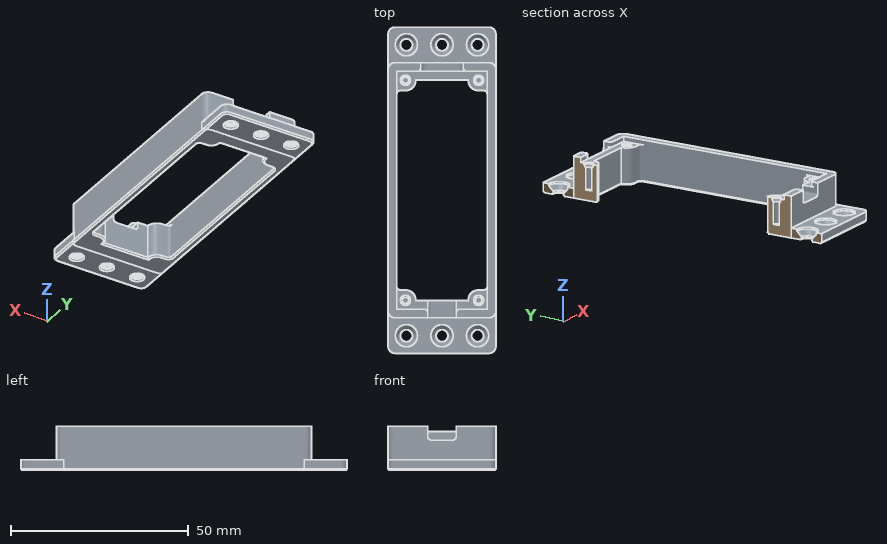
import cadquery as cq

LENGTH = 91.8
WIDTH = 30.4
HEIGHT = 12.5
CORNER_RADIUS = 2.0
BOTTOM_CHAMFER = 0.5

FLANGE_LENGTH = 10.0
FLANGE_HEIGHT = 3.0
HOUSING_LENGTH = LENGTH - 2 * FLANGE_LENGTH
SCREW_PITCH = 10.0
SCREW_Y = (LENGTH - FLANGE_LENGTH) / 2
SCREW_DIAMETER = 3.3
HEAD_DIAMETER = 6.2
HEAD_ANGLE = 90
HEAD_SINK = 0.55

WALL = 2.5
RECESS_DEPTH = 1.5
LEDGE_Z = HEIGHT - RECESS_DEPTH
RECESS_WIDTH = WIDTH - 2 * WALL
RECESS_LENGTH = HOUSING_LENGTH - 2 * WALL
WINDOW_LENGTH = RECESS_LENGTH - 2 * WALL

BOSS_X = 10.3
BOSS_Y = WINDOW_LENGTH / 2
BOSS_RADIUS = 2.9
BOSS_BLEND = 1.0
PILOT_DIAMETER = 1.8
PILOT_RIM_DIAMETER = 2.8
PILOT_RIM_ANGLE = 60
PILOT_SINK = 0.5
PILOT_DEPTH = 7.3

NOTCH_EDGE_RADIUS = 1.0
SLOT_WIDTH = 8.0
SLOT_DEPTH = 3.95
SLOT_FILLET = 1.0
NOTCH_WIDTH = 12.0
NOTCH_DEPTH = 3.5
NOTCH_FILLET = 2.0


def rounded_block(length, height):
    """Full-width block centred on Z with rounded vertical edges, standing on Z = 0."""
    block = cq.Workplane("XY").rect(WIDTH, length).extrude(height)
    return block.edges("|Z").fillet(CORNER_RADIUS)


def chamfered_envelope():
    """Outer shape of the whole part in plan, chamfered around the bottom."""
    return rounded_block(LENGTH, HEIGHT).faces("<Z").edges().chamfer(BOTTOM_CHAMFER)


def window_cutter():
    """Opening through the housing that leaves a rounded boss in each corner."""
    cutter = cq.Workplane("XY").rect(RECESS_WIDTH, WINDOW_LENGTH).extrude(LEDGE_Z)
    inner_y = BOSS_Y - BOSS_RADIUS
    flank_length = RECESS_WIDTH / 2 - BOSS_X
    for side_x in (-1, 1):
        for side_y in (-1, 1):
            boss = (
                cq.Workplane("XY")
                .center(side_x * BOSS_X, side_y * BOSS_Y)
                .circle(BOSS_RADIUS)
                .extrude(LEDGE_Z)
            )
            flank = (
                cq.Workplane("XY")
                .center(side_x * (BOSS_X + flank_length / 2), side_y * (inner_y + BOSS_RADIUS / 2))
                .rect(flank_length, BOSS_RADIUS)
                .extrude(LEDGE_Z)
            )
            cutter = cutter.cut(boss).cut(flank)
    return cutter.edges("|Z and (<X or >X)").fillet(BOSS_BLEND)


def recess_cutter():
    """Shallow lid recess around the top of the window."""
    return (
        cq.Workplane("XY", origin=(0, 0, LEDGE_Z))
        .rect(RECESS_WIDTH, RECESS_LENGTH)
        .extrude(RECESS_DEPTH)
    )


def notch_cutter(width, depth, fillet, side_y, reach):
    """Round-bottomed notch cut `reach` inward from one end of the housing, flared at the recess."""
    end_y = side_y * HOUSING_LENGTH / 2
    floor_z = HEIGHT - depth
    notch = (
        cq.Workplane("XY", origin=(0, end_y - side_y * reach / 2, floor_z))
        .rect(width, reach)
        .extrude(depth)
        .edges("|Y and <Z")
        .fillet(fillet)
    )
    inner_y = side_y * RECESS_LENGTH / 2
    radius = NOTCH_EDGE_RADIUS
    for side_x in (-1, 1):
        edge_x = side_x * width / 2
        corner = (
            cq.Workplane("XY", origin=(0, 0, LEDGE_Z))
            .moveTo(edge_x, inner_y)
            .lineTo(edge_x + side_x * radius, inner_y)
            .radiusArc((edge_x, inner_y + side_y * radius), side_x * side_y * radius)
            .close()
            .extrude(RECESS_DEPTH)
        )
        notch = notch.union(corner)
    return notch


def chamfer_bottom_openings(body):
    """Chamfer the rim of every opening in the bottom face."""
    rims = body.faces("<Z").val().innerWires()
    return body.newObject([edge for rim in rims for edge in rim.Edges()]).chamfer(BOTTOM_CHAMFER)


def cut_round_recess(body, points, top_z, diameter, depth):
    """Cut a shallow round recess at each point and select the points on the recess floors."""
    recessed = (
        body.copyWorkplane(cq.Workplane("XY", origin=(0, 0, top_z)))
        .pushPoints(points)
        .circle(diameter / 2)
        .cutBlind(-depth)
    )
    return recessed.copyWorkplane(cq.Workplane("XY", origin=(0, 0, top_z - depth))).pushPoints(points)


def make_housing():
    """Open rectangular housing with lid ledge, screw bosses and a cable notch in each end."""
    housing = rounded_block(HOUSING_LENGTH, HEIGHT).intersect(chamfered_envelope())
    housing = housing.cut(window_cutter()).cut(recess_cutter())
    housing = housing.cut(notch_cutter(SLOT_WIDTH, SLOT_DEPTH, SLOT_FILLET, -1, 2 * WALL))
    housing = housing.cut(notch_cutter(NOTCH_WIDTH, NOTCH_DEPTH, NOTCH_FILLET, 1, WALL))
    boss_points = [(side_x * BOSS_X, side_y * BOSS_Y) for side_x in (-1, 1) for side_y in (-1, 1)]
    housing = cut_round_recess(housing, boss_points, LEDGE_Z, PILOT_RIM_DIAMETER, PILOT_SINK)
    housing = housing.cskHole(PILOT_DIAMETER, PILOT_RIM_DIAMETER, PILOT_RIM_ANGLE, depth=PILOT_DEPTH)
    return chamfer_bottom_openings(housing)


def make_flange(side_y):
    """Mounting flange fitted around the rounded end of the housing, with three countersunk holes."""
    region = (
        cq.Workplane("XY")
        .center(0, side_y * LENGTH / 4)
        .rect(WIDTH, LENGTH / 2)
        .extrude(FLANGE_HEIGHT)
    )
    flange = chamfered_envelope().intersect(region).cut(rounded_block(HOUSING_LENGTH, HEIGHT))
    screw_points = [(i * SCREW_PITCH, side_y * SCREW_Y) for i in (-1, 0, 1)]
    flange = cut_round_recess(flange, screw_points, FLANGE_HEIGHT, HEAD_DIAMETER, HEAD_SINK)
    flange = flange.cskHole(SCREW_DIAMETER, HEAD_DIAMETER, HEAD_ANGLE)
    return chamfer_bottom_openings(flange)


housing = make_housing()
flanges = [make_flange(side_y) for side_y in (-1, 1)]

result = cq.Compound.makeCompound([housing.val(), *[flange.val() for flange in flanges]])